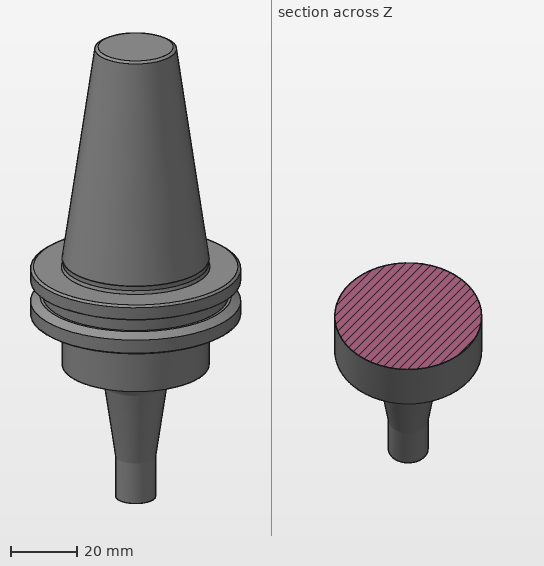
import cadquery as cq

total_height = 146.2
gauge_z = 77.4
relief_bottom_z = 75.8
flange_top_z = 74.7
flange_bottom_z = 58.8
collar_relief_z = 58.0
collar_bottom_z = 43.0
neck_top_z = 39.5
tip_top_z = 13.0

taper_top_diameter = 24.7
gauge_diameter = 44.5
relief_diameter = 44.0
flare_diameter = 44.9
collar_relief_diameter = 44.3
flange_diameter = 63.5
groove_diameter = 56.0
groove_lip_diameter = 57.8
neck_top_diameter = 19.9
tip_diameter = 12.1

groove_upper_edge_z = 70.3
groove_upper_floor_z = 69.0
groove_lower_floor_z = 65.2
groove_lower_edge_z = 63.6

top_chamfer_width = 1.0
top_chamfer_height = 0.6
gauge_chamfer = 0.22
flange_chamfer_width = 0.9
flange_chamfer_height = 0.6
neck_fillet = 5.0

taper_top_r = taper_top_diameter / 2
gauge_r = gauge_diameter / 2
relief_r = relief_diameter / 2
flare_r = flare_diameter / 2
collar_relief_r = collar_relief_diameter / 2
flange_r = flange_diameter / 2
groove_r = groove_diameter / 2
groove_lip_r = groove_lip_diameter / 2
neck_top_r = neck_top_diameter / 2
tip_r = tip_diameter / 2

nose_profile = [
    (0, 0),
    (tip_r, 0),
    (tip_r, tip_top_z),
    (neck_top_r, neck_top_z),
    (gauge_r, collar_bottom_z),
    (gauge_r, collar_relief_z),
    (collar_relief_r, collar_relief_z),
    (collar_relief_r, flange_bottom_z),
]
flange_profile = [
    (flange_r - flange_chamfer_width, flange_bottom_z),
    (flange_r, flange_bottom_z + flange_chamfer_height),
    (flange_r, groove_lower_edge_z),
    (groove_lip_r, groove_lower_floor_z),
    (groove_r, groove_lower_floor_z),
    (groove_r, groove_upper_floor_z),
    (groove_lip_r, groove_upper_floor_z),
    (flange_r, groove_upper_edge_z),
    (flange_r, flange_top_z - flange_chamfer_height),
    (flange_r - flange_chamfer_width, flange_top_z),
]
taper_profile = [
    (flare_r, flange_top_z),
    (relief_r, relief_bottom_z),
    (relief_r, gauge_z - gauge_chamfer),
    (gauge_r, gauge_z),
    (taper_top_r, total_height - top_chamfer_height),
    (taper_top_r - top_chamfer_width, total_height),
    (0, total_height),
]

holder = (
    cq.Workplane("XZ")
    .polyline(nose_profile + flange_profile + taper_profile)
    .close()
    .revolve(360, (0, 0, 0), (0, 1, 0))
)

corner_reach = 0.1
neck_corner = cq.selectors.BoxSelector(
    (-neck_top_r, -neck_top_r, neck_top_z - corner_reach),
    (neck_top_r, neck_top_r, neck_top_z + corner_reach),
)
result = holder.edges(neck_corner).fillet(neck_fillet)